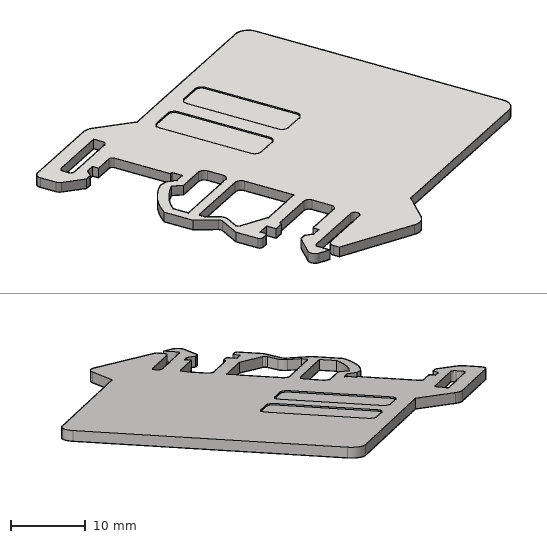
import cadquery as cq
import math

thickness = 1.5
width = 51.22
height = 48.5
plate_left = 5.0
plate_right = 47.0
shoulder_y = 19.45
plate_corner_radius = 2.0
shoulder_radius = 2.0
left_foot_radius = 1.0

opening_top_y = 12.55
foot_inner_left = 6.55
foot_inner_right = 39.45
rail_notch_depth = 0.93
rail_notch_top_y = 6.05
rail_notch_bottom_y = 4.7
foot_nose_y = 2.75

gap_top_y = 9.45
gap_corner_radius = 0.5
relief_left = 15.7
relief_top_y = 9.82

bow_neck_outer = (17.3, 8.35)
bow_side_outer = (16.2, 7.2)
bow_bulge_outer = (16.0, 6.0)
bow_bend_outer = (17.3, 2.95)
bow_foot_x = 20.0
window_wall_bottom_y = 1.45
bow_neck_inner_y = 7.6
bow_side_inner = (17.42, 6.6)
bow_bend_inner = (18.75, 3.6)
bow_foot_inner_x = 20.55
window_radius = 0.9
left_window_left = 18.75
left_window_right = 22.9
right_window_left = 24.4
right_window_right = 32.9

vee_x = 27.7
vee_half_width = 3.3
vee_slope = math.tan(math.radians(30))
vee_apex_y = vee_half_width * vee_slope
vee_wall_rise = 1.05
vee_radius = 0.6
vee_inner_radius = 1.3
right_window_floor_y = 1.6
right_window_knee_y = 5.65
right_window_floor_radius = 0.4

post_right = 34.9
post_lip_x = 35.27
post_lip_top_y = 4.85
post_lip_bottom_y = 3.45
post_notch_x = 33.82
post_toe_top_y = 1.62
post_toe_radius = 0.5
post_toe_top_radius = 0.3
post_slot_radius = 0.8

flank_angle = math.radians(45)
arm_angle = math.radians(60)
arm_slope = math.tan(arm_angle)
arm_slot_left = 42.0
arm_slot_right = 43.3
arm_slot_floor_y = 2.0
arm_slot_corner_radius = 0.5
foot_tip_radius = 1.0
arm_tip_y = 3.25
arm_tip_radius = 0.9

foot_slot_left = 2.18
foot_slot_right = 4.18
foot_slot_bottom_y = 3.05
foot_slot_radius = 0.6

label_width = 16.0
label_height = 5.0
label_x = 15.45
label_ys = (22.0, 29.5)
label_radius = 1.0
label_depth = 0.2


def round_corner(body, x, y, radius):
    """Round the upright edge standing at (x, y)."""
    corner = cq.selectors.NearestToPointSelector((x, y, thickness / 2))
    return body.edges("|Z").edges(corner).fillet(radius)


def round_corners(body, corners):
    for x, y, radius in corners:
        body = round_corner(body, x, y, radius)
    return body


def outer_plate():
    notch_left = foot_inner_left - rail_notch_depth
    notch_right = foot_inner_right + rail_notch_depth
    nose_top_y = rail_notch_bottom_y - rail_notch_depth
    left_toe_x = foot_inner_left - foot_nose_y
    right_toe_x = foot_inner_right + foot_nose_y
    tip_center_x = right_toe_x + foot_tip_radius * math.tan(flank_angle / 2)
    tip_start = (
        tip_center_x - foot_tip_radius * math.sin(flank_angle),
        foot_tip_radius * (1 - math.cos(flank_angle)),
    )
    tip_end = (
        tip_center_x + foot_tip_radius * math.sin(arm_angle),
        foot_tip_radius * (1 - math.cos(arm_angle)),
    )
    foot_heel_x = tip_end[0] + (arm_slot_floor_y - tip_end[1]) / arm_slope
    half_angle = (flank_angle + arm_angle) / 2
    bisector_tilt = (arm_angle - flank_angle) / 2
    rounding_trim = shoulder_radius * (math.cos(bisector_tilt) / math.sin(half_angle) - 1)
    shoulder_tip_x = width + rounding_trim
    shoulder_tip_y = plate_right + shoulder_y - shoulder_tip_x
    arm_tip_x = shoulder_tip_x - (shoulder_tip_y - arm_tip_y) / arm_slope
    left_shoulder_y = shoulder_y - plate_left
    arm_slot_radius = (arm_slot_right - arm_slot_left) / 2
    lip_ramp = post_lip_x - post_right

    outline = (
        cq.Workplane("XY")
        .moveTo(0, 0)
        .lineTo(left_toe_x, 0)
        .lineTo(foot_inner_left, foot_nose_y)
        .lineTo(foot_inner_left, nose_top_y)
        .lineTo(notch_left, rail_notch_bottom_y)
        .lineTo(notch_left, rail_notch_top_y)
        .lineTo(foot_inner_left, rail_notch_top_y)
        .lineTo(foot_inner_left, gap_top_y)
        .lineTo(relief_left, gap_top_y)
        .lineTo(relief_left, relief_top_y)
        .lineTo(bow_neck_outer[0], relief_top_y)
        .lineTo(*bow_neck_outer)
        .lineTo(*bow_side_outer)
        .lineTo(*bow_bulge_outer)
        .threePointArc(bow_bend_outer, (bow_foot_x, 0))
        .lineTo(vee_x - vee_half_width, 0)
        .lineTo(vee_x, vee_apex_y)
        .lineTo(vee_x + vee_half_width, 0)
        .lineTo(post_right, 0)
        .lineTo(post_right, post_toe_top_y)
        .lineTo(post_notch_x, post_toe_top_y)
        .lineTo(post_notch_x, post_lip_bottom_y)
        .lineTo(post_lip_x, post_lip_bottom_y)
        .lineTo(post_lip_x, post_lip_top_y)
        .lineTo(post_right, post_lip_top_y + lip_ramp)
        .lineTo(post_right, opening_top_y)
        .lineTo(foot_inner_right, opening_top_y)
        .lineTo(foot_inner_right, rail_notch_top_y)
        .lineTo(notch_right, rail_notch_top_y)
        .lineTo(notch_right, rail_notch_bottom_y)
        .lineTo(foot_inner_right, nose_top_y)
        .lineTo(foot_inner_right, foot_nose_y)
        .lineTo(*tip_start)
        .threePointArc((tip_center_x, 0), tip_end)
        .lineTo(foot_heel_x, arm_slot_floor_y)
        .lineTo(arm_slot_left, arm_slot_floor_y)
        .lineTo(arm_slot_left, opening_top_y - arm_slot_radius)
        .threePointArc(
            (arm_slot_left + arm_slot_radius, opening_top_y),
            (arm_slot_right, opening_top_y - arm_slot_radius),
        )
        .lineTo(arm_slot_right, arm_tip_y)
        .lineTo(arm_tip_x, arm_tip_y)
        .lineTo(shoulder_tip_x, shoulder_tip_y)
        .lineTo(plate_right, shoulder_y)
        .lineTo(plate_right, height)
        .lineTo(plate_left, height)
        .lineTo(plate_left, shoulder_y)
        .lineTo(0, left_shoulder_y)
        .close()
    )
    corners = [
        (0, 0, left_foot_radius),
        (left_toe_x, 0, left_foot_radius),
        (0, left_shoulder_y, shoulder_radius),
        (foot_inner_left, gap_top_y, gap_corner_radius),
        (vee_x, vee_apex_y, vee_radius),
        (post_right, 0, post_toe_radius),
        (post_right, post_toe_top_y, post_toe_top_radius),
        (post_right, opening_top_y, post_slot_radius),
        (foot_inner_right, opening_top_y, post_slot_radius),
        (arm_slot_left, arm_slot_floor_y, arm_slot_corner_radius),
        (arm_slot_right, arm_tip_y, arm_tip_radius),
        (shoulder_tip_x, shoulder_tip_y, shoulder_radius),
        (plate_right, height, plate_corner_radius),
        (plate_left, height, plate_corner_radius),
    ]
    return round_corners(outline.extrude(thickness), corners)


def left_window():
    opening = (
        cq.Workplane("XY")
        .moveTo(left_window_left, opening_top_y)
        .lineTo(left_window_right, opening_top_y)
        .lineTo(left_window_right, window_wall_bottom_y)
        .lineTo(bow_foot_inner_x, window_wall_bottom_y)
        .threePointArc(bow_bend_inner, bow_side_inner)
        .lineTo(left_window_left, bow_neck_inner_y)
        .close()
        .extrude(thickness)
    )
    corners = [
        (left_window_left, opening_top_y, window_radius),
        (left_window_right, opening_top_y, window_radius),
    ]
    return round_corners(opening, corners)


def right_window():
    inner_apex_y = vee_apex_y + vee_wall_rise
    floor_offset = (inner_apex_y - right_window_floor_y) / vee_slope
    floor_left = vee_x - floor_offset
    floor_right = vee_x + floor_offset
    knee_foot_x = right_window_right - (right_window_knee_y - right_window_floor_y) / arm_slope
    opening = (
        cq.Workplane("XY")
        .moveTo(right_window_left, opening_top_y)
        .lineTo(right_window_right, opening_top_y)
        .lineTo(right_window_right, right_window_knee_y)
        .lineTo(knee_foot_x, right_window_floor_y)
        .lineTo(floor_right, right_window_floor_y)
        .lineTo(vee_x, inner_apex_y)
        .lineTo(floor_left, right_window_floor_y)
        .lineTo(right_window_left, right_window_floor_y)
        .close()
        .extrude(thickness)
    )
    corners = [
        (right_window_left, opening_top_y, window_radius),
        (vee_x, inner_apex_y, vee_inner_radius),
        (right_window_left, right_window_floor_y, right_window_floor_radius),
        (knee_foot_x, right_window_floor_y, right_window_floor_radius),
    ]
    return round_corners(opening, corners)


def foot_slot():
    slot_width = foot_slot_right - foot_slot_left
    slot_length = opening_top_y - foot_slot_bottom_y
    slot = (
        cq.Workplane("XY", origin=(foot_slot_left, foot_slot_bottom_y, 0))
        .rect(slot_width, slot_length, centered=False)
        .extrude(thickness)
    )
    corners = [
        (foot_slot_left, foot_slot_bottom_y, foot_slot_radius),
        (foot_slot_right, foot_slot_bottom_y, foot_slot_radius),
        (foot_slot_right, opening_top_y, foot_slot_radius),
    ]
    return round_corners(slot, corners)


def label_recess(y):
    return (
        cq.Workplane("XY", origin=(label_x, y, thickness - label_depth))
        .rect(label_width, label_height)
        .extrude(label_depth)
        .edges("|Z")
        .fillet(label_radius)
    )


result = outer_plate().cut(left_window()).cut(right_window()).cut(foot_slot())
for label_y in label_ys:
    result = result.cut(label_recess(label_y))